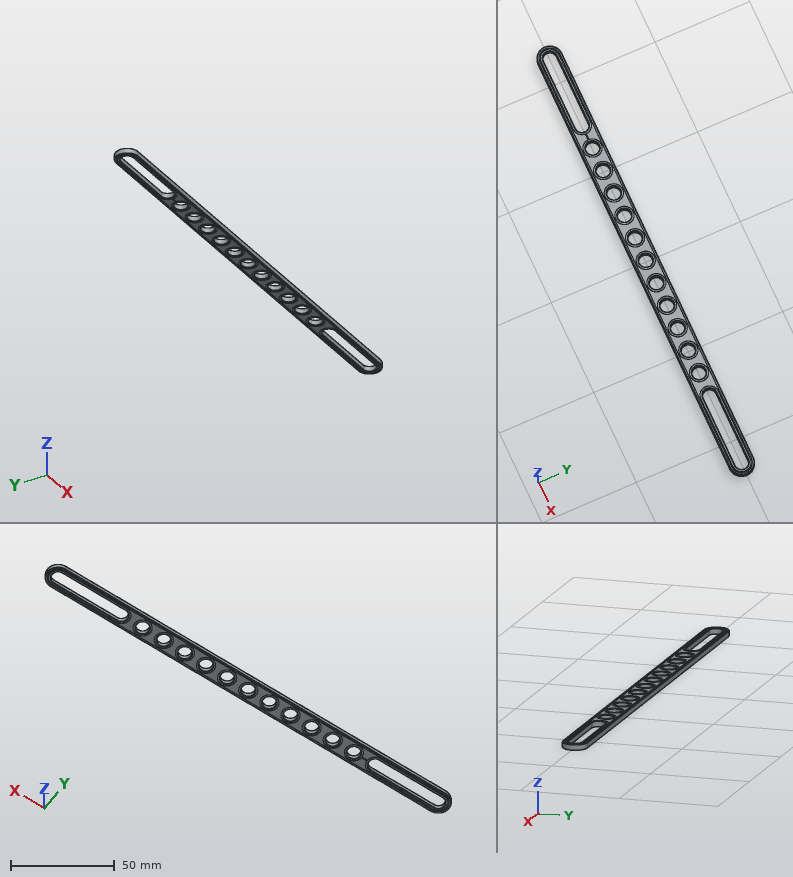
import cadquery as cq

length = 237.5
thickness = 3.0
grid_positions = 19
pitch = length / grid_positions
width = pitch

round_hole_count = 11
slot_pitches = 3
hole_diameter = 7.0
slot_spacing = slot_pitches * pitch
slot_offset = (grid_positions - 1) / 2 * pitch - slot_spacing / 2
first_hole_x = -(round_hole_count - 1) / 2 * pitch

rim_diameter = 9.3
outer_rim_width = 1.07
recess_depth = 0.2
rim_chamfer = 0.3

rib_width = 0.5


def make_openings(diameter, height):
    """Row of round columns with a long column at each end, standing on Z = 0."""
    centres = [(first_hole_x + index * pitch, 0) for index in range(round_hole_count)]
    columns = cq.Workplane("XY").pushPoints(centres).circle(diameter / 2).extrude(height)
    slots = (
        cq.Workplane("XY")
        .pushPoints([(-slot_offset, 0), (slot_offset, 0)])
        .slot2D(slot_spacing + diameter, diameter)
        .extrude(height)
    )
    return columns.union(slots)


def make_field():
    """Area inside the outer rim that lies around the opening rims and the marker rib."""
    inset = 2 * outer_rim_width
    outline = cq.Workplane("XY").slot2D(length - inset, width - inset).extrude(recess_depth)
    rib = (
        cq.Workplane("XY")
        .center(first_hole_x - pitch / 2, 0)
        .rect(pitch - hole_diameter, rib_width)
        .extrude(recess_depth)
    )
    return outline.cut(make_openings(rim_diameter, recess_depth)).cut(rib)


bar = cq.Workplane("XY").slot2D(length, width).extrude(thickness)
bar = bar.cut(make_openings(hole_diameter, thickness))
bar = bar.faces("<Z or >Z").edges().chamfer(rim_chamfer)

field = make_field()
for recess_base in (0, thickness - recess_depth):
    bar = bar.cut(field.translate((0, 0, recess_base)))

result = bar